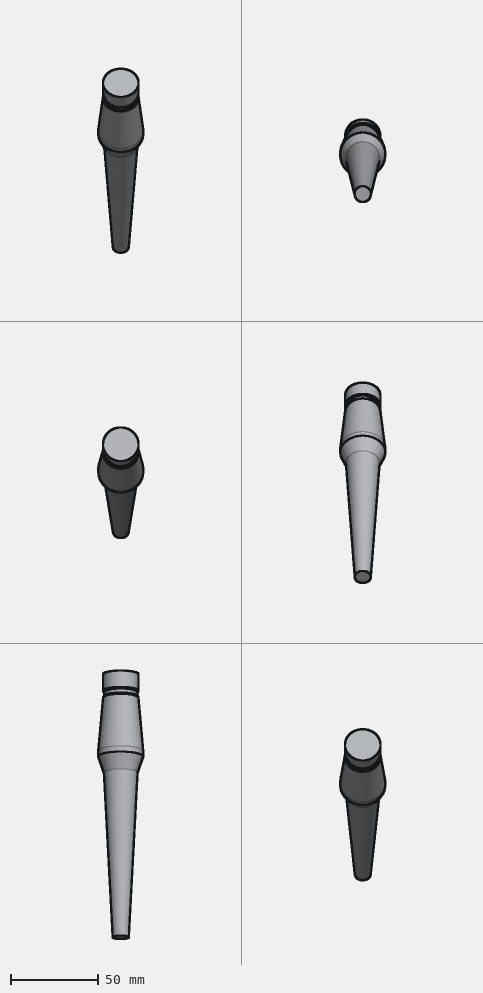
import cadquery as cq

total_height = 155.0
head_height = 9.7
groove_floor_height = 2.3
groove_bevel_height = 0.9
collar_height = 3.4
flare_height = 9.5
tail_height = 97.0

head_diameter = 20.5
groove_diameter = 19.5
collar_diameter = 26.0
tail_top_diameter = 19.5
tail_end_diameter = 9.4

head_radius = head_diameter / 2
groove_radius = groove_diameter / 2
collar_radius = collar_diameter / 2
tail_top_radius = tail_top_diameter / 2
tail_end_radius = tail_end_diameter / 2

collar_bottom = tail_height + flare_height
collar_top = collar_bottom + collar_height
head_bottom = total_height - head_height
groove_top = head_bottom - groove_bevel_height
groove_bottom = groove_top - groove_floor_height
body_top = groove_bottom - groove_bevel_height


def make_half_section():
    """Closed outline on the +X side of the axis, from the tail end up to the head."""
    return (
        cq.Workplane("XZ")
        .lineTo(tail_end_radius, 0)
        .lineTo(tail_top_radius, tail_height)
        .lineTo(collar_radius, collar_bottom)
        .lineTo(collar_radius, collar_top)
        .lineTo(head_radius, body_top)
        .lineTo(groove_radius, groove_bottom)
        .lineTo(groove_radius, groove_top)
        .lineTo(head_radius, head_bottom)
        .lineTo(head_radius, total_height)
        .lineTo(0, total_height)
        .close()
    )


result = make_half_section().revolve(360, (0, 0, 0), (0, 1, 0))